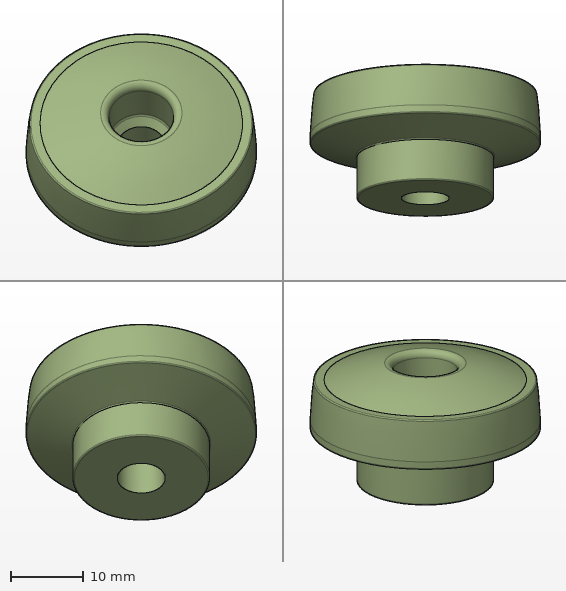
import cadquery as cq
import math

height = 17.55
flange_radius = 16.0
foot_radius = 9.5
edge_round = 0.2

foot_height = 6.0
flange_bottom = 7.9
band_top = 9.02
rim_radius = 15.5
side_bulge = 0.08

dome_sphere_radius = 35.0
dome_edge_radius = 14.05

bore_radius = 9.0 / 2
seat_top = 11.15
bore_mouth_round = 1.0
seat_round = 0.5
seat_angle = math.radians(45)
hole_radius = 6.65 / 2

mouth_crest_radius = bore_radius + bore_mouth_round
crest_centre_height = math.sqrt((dome_sphere_radius - bore_mouth_round) ** 2 - mouth_crest_radius**2)
sphere_centre_z = height - bore_mouth_round - crest_centre_height
dome_edge_z = sphere_centre_z + math.sqrt(dome_sphere_radius**2 - dome_edge_radius**2)


def dome_point(radius):
    """Point of the dome profile at the given distance from the axis."""
    return radius, sphere_centre_z + math.sqrt(dome_sphere_radius**2 - radius**2)


def seat_round_point(turn):
    """Point of the rounded seat corner after the wall has turned inward by an angle."""
    radius = bore_radius - seat_round * (1 - math.cos(turn))
    return radius, seat_top - seat_round * math.sin(turn)


def make_body():
    """Revolve the whole section: stepped bore, foot, underside, flange and dome."""
    side_middle = (
        (flange_radius + rim_radius) / 2 + side_bulge,
        (band_top + dome_edge_z) / 2,
    )
    mouth_radius = mouth_crest_radius * dome_sphere_radius / (dome_sphere_radius - bore_mouth_round)
    seat_start_radius, seat_start_z = seat_round_point(seat_angle)
    seat_bottom = seat_start_z - (seat_start_radius - hole_radius) / math.tan(seat_angle)
    dome_middle_radius = (dome_edge_radius + mouth_radius) / 2
    return (
        cq.Workplane("XZ")
        .moveTo(hole_radius, 0)
        .lineTo(foot_radius, 0)
        .lineTo(foot_radius, foot_height)
        .lineTo(flange_radius, flange_bottom)
        .lineTo(flange_radius, band_top)
        .threePointArc(side_middle, (rim_radius, dome_edge_z))
        .lineTo(dome_edge_radius, dome_edge_z)
        .threePointArc(dome_point(dome_middle_radius), dome_point(mouth_radius))
        .threePointArc((mouth_crest_radius, height), (bore_radius, height - bore_mouth_round))
        .lineTo(bore_radius, seat_top)
        .threePointArc(seat_round_point(seat_angle / 2), (seat_start_radius, seat_start_z))
        .lineTo(hole_radius, seat_bottom)
        .close()
        .revolve(360, (0, 0), (0, 1))
    )


def round_edge(body, radius, z, size):
    """Round the circular edge of the given radius at height z."""
    edges = [
        edge
        for edge in body.edges("%CIRCLE").vals()
        if abs(edge.radius() - radius) < 0.003 and abs(edge.Center().z - z) < 0.003
    ]
    return body.newObject(edges).fillet(size)


result = make_body()
for edge_radius, edge_z in (
    (foot_radius, 0),
    (foot_radius, foot_height),
    (flange_radius, flange_bottom),
    (rim_radius, dome_edge_z),
):
    result = round_edge(result, edge_radius, edge_z, edge_round)